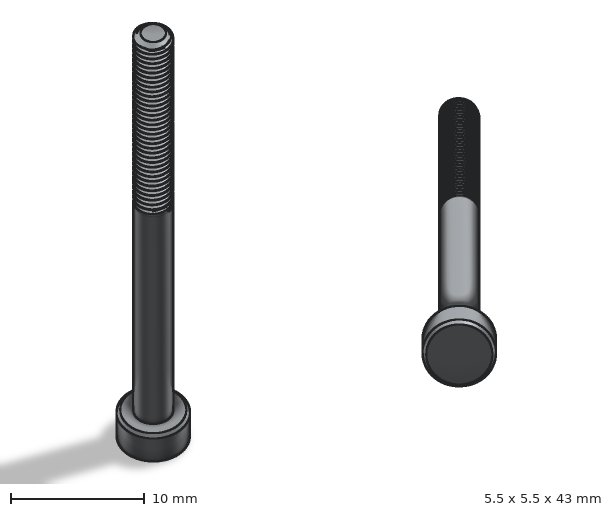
import cadquery as cq
import math

THREAD_DIAMETER = 3.0
PITCH = 0.5
SHANK_LENGTH = 40.0
THREAD_LENGTH = 18.0
TIP_DIAMETER = 1.9
TIP_CHAMFER_HEIGHT = 0.35

HEAD_DIAMETER = 5.5
HEAD_HEIGHT = THREAD_DIAMETER
HEAD_CHAMFER = 0.28

FLANK_HALF_ANGLE = math.radians(30)
SHARP_V_HEIGHT = PITCH / (2 * math.tan(FLANK_HALF_ANGLE))
THREAD_DEPTH = SHARP_V_HEIGHT * 5 / 8
ROOT_FLAT = PITCH / 4
CUTTER_OVERLAP = 0.03

GROOVE_RISE = 0.09
BOOLEAN_TOLERANCE = 1e-4

SHANK_RADIUS = THREAD_DIAMETER / 2
ROOT_RADIUS = SHANK_RADIUS - THREAD_DEPTH
THREAD_START = SHANK_LENGTH - THREAD_LENGTH
TIP_RADIUS = TIP_DIAMETER / 2


def make_head():
    head = cq.Workplane("XY").circle(HEAD_DIAMETER / 2).extrude(-HEAD_HEIGHT)
    return head.faces("|Z").chamfer(HEAD_CHAMFER)


def make_plain_shank():
    return cq.Workplane("XY").circle(SHANK_RADIUS).extrude(THREAD_START)


def make_thread_blank():
    """Unthreaded outer stretch of the shank, with its chamfered tip."""
    tip_start = SHANK_LENGTH - TIP_CHAMFER_HEIGHT
    return (
        cq.Workplane("XZ")
        .moveTo(0, THREAD_START)
        .lineTo(SHANK_RADIUS, THREAD_START)
        .lineTo(SHANK_RADIUS, tip_start)
        .lineTo(TIP_RADIUS, SHANK_LENGTH)
        .lineTo(0, SHANK_LENGTH)
        .close()
        .revolve(360, (0, 0), (0, 1))
    )


def make_thread_groove():
    """Right-handed V groove that starts and ends on the +X side, running out through the tip."""
    outer_radius = SHANK_RADIUS + CUTTER_OVERLAP
    root_half = ROOT_FLAT / 2
    outer_half = root_half + (outer_radius - ROOT_RADIUS) * math.tan(FLANK_HALF_ANGLE)
    start = THREAD_START + GROOVE_RISE
    helix = cq.Wire.makeHelix(PITCH, THREAD_LENGTH, ROOT_RADIUS, cq.Vector(0, 0, start))
    profile = [
        (ROOT_RADIUS, start - root_half),
        (outer_radius, start - outer_half),
        (outer_radius, start + outer_half),
        (ROOT_RADIUS, start + root_half),
    ]
    return cq.Workplane("XZ").polyline(profile).close().sweep(cq.Workplane(helix), isFrenet=True)


thread = make_thread_blank().cut(make_thread_groove(), tol=BOOLEAN_TOLERANCE)
result = make_head().union(make_plain_shank()).union(thread)